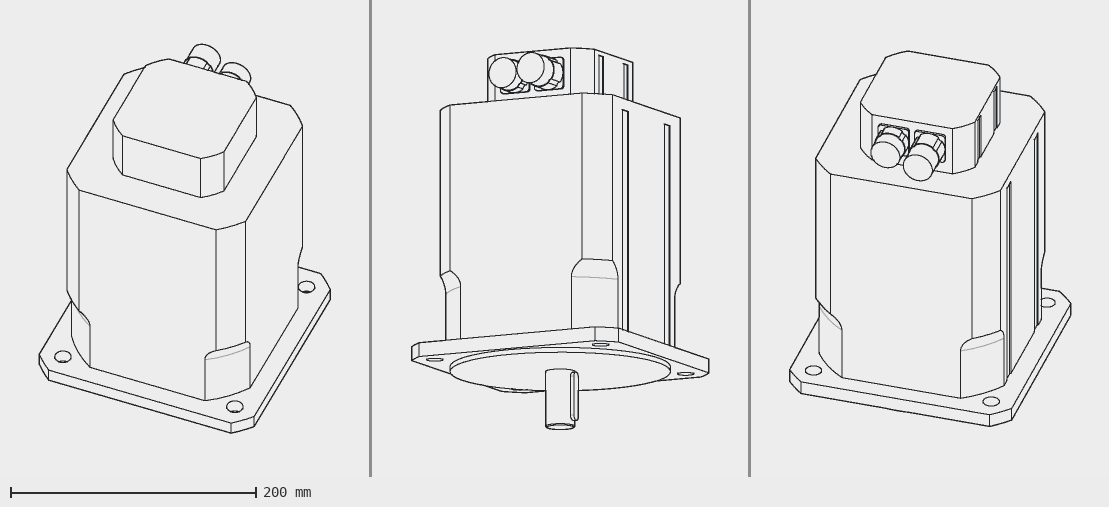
import cadquery as cq
import math


total_height = 304.0
shaft_length = 46.2
pilot_thickness = 4.0
flange_thickness = 11.5
cover_height = 44.5

flange_bottom = shaft_length + pilot_thickness
flange_top = flange_bottom + flange_thickness
housing_top = total_height - cover_height

flange_side = 190.0
flange_corner_diameter = 249.3
housing_side = 158.0
housing_corner_diameter = 199.0
cover_side = 98.0
cover_corner_diameter = 119.8

relief_diameter = 188.0
relief_straight_top = 108.2
relief_top = 122.2

pilot_diameter = 180.0
mounting_hole_diameter = 13.5
mounting_hole_spacing = 152.0

shaft_diameter = 24.0
shaft_chamfer = 1.0
key_width = 8.0
key_length = 40.0
key_bottom = 4.5
key_reach = 14.5

groove_depth = 1.0
housing_groove_width = 10.0
housing_groove_offset = 37.5
housing_groove_top_gap = 9.5
cover_groove_width = 8.0
cover_groove_offset = 22.2
cover_groove_top_gap = 3.5

connector_offset = 15.5
connector_height = 283.5
base_side = 26.0
base_thickness = 2.0
base_corner_radius = 2.7
collar_diameter = 26.0
plug_diameter = 25.0
power_collar_length = 15.5
power_plug_length = 16.7
signal_collar_length = 9.5
signal_plug_length = 12.5


def turned_square(side, corner_diameter, bottom, height):
    """Square bar on the Z axis whose corners are turned to a round."""
    square = cq.Workplane("XY").workplane(offset=bottom).rect(side, side).extrude(height)
    round_bar = cq.Workplane("XY").workplane(offset=bottom).circle(corner_diameter / 2).extrude(height)
    return square.intersect(round_bar)


def make_corner_relief():
    """Ring that cuts the lower housing corners and runs out upwards in an arc."""
    inner_radius = relief_diameter / 2
    runout_radius = housing_corner_diameter / 2
    outer_radius = flange_side
    rise = relief_top - relief_straight_top
    step = runout_radius - inner_radius
    arc_radius = (rise**2 + step**2) / (2 * step)
    half_angle = math.asin(rise / arc_radius) / 2
    arc_middle = (
        inner_radius + arc_radius * (1 - math.cos(half_angle)),
        relief_straight_top + arc_radius * math.sin(half_angle),
    )
    return (
        cq.Workplane("XZ")
        .moveTo(inner_radius, flange_top)
        .lineTo(inner_radius, relief_straight_top)
        .threePointArc(arc_middle, (runout_radius, relief_top))
        .lineTo(outer_radius, relief_top)
        .lineTo(outer_radius, flange_top)
        .close()
        .revolve(360, (0, 0, 0), (0, 1, 0))
    )


def make_grooves(side, width, offset, bottom, top):
    """Pair of shallow grooves in the -X face of a square section."""
    return (
        cq.Workplane("XY")
        .workplane(offset=bottom)
        .pushPoints([(-side / 2, -offset), (-side / 2, offset)])
        .rect(2 * groove_depth, width)
        .extrude(top - bottom)
    )


def make_flange():
    plate = turned_square(flange_side, flange_corner_diameter, flange_bottom, flange_thickness)
    holes = (
        cq.Workplane("XY")
        .workplane(offset=flange_bottom)
        .rect(mounting_hole_spacing, mounting_hole_spacing, forConstruction=True)
        .vertices()
        .circle(mounting_hole_diameter / 2)
        .extrude(flange_thickness)
    )
    pilot = (
        cq.Workplane("XY")
        .workplane(offset=shaft_length)
        .circle(pilot_diameter / 2)
        .extrude(pilot_thickness)
    )
    return plate.union(pilot).cut(holes)


def make_housing():
    housing = turned_square(
        housing_side, housing_corner_diameter, flange_top, housing_top - flange_top
    )
    grooves = make_grooves(
        housing_side,
        housing_groove_width,
        housing_groove_offset,
        flange_top,
        housing_top - housing_groove_top_gap,
    )
    return housing.cut(make_corner_relief()).cut(grooves)


def make_cover():
    cover = turned_square(cover_side, cover_corner_diameter, housing_top, cover_height)
    grooves = make_grooves(
        cover_side,
        cover_groove_width,
        cover_groove_offset,
        housing_top,
        total_height - cover_groove_top_gap,
    )
    return cover.cut(grooves)


def make_shaft():
    """Shaft with a round-ended key standing out on its -X side."""
    shaft = (
        cq.Workplane("XY")
        .circle(shaft_diameter / 2)
        .extrude(shaft_length)
        .faces("<Z")
        .chamfer(shaft_chamfer)
    )
    key = (
        cq.Workplane("YZ")
        .center(0, key_bottom + key_length / 2)
        .slot2D(key_length, key_width, 90)
        .extrude(-key_reach)
    )
    return shaft.union(key)


def make_motor():
    return make_flange().union(make_housing()).union(make_cover()).union(make_shaft())


def make_connector(x, collar_length, plug_length):
    """Connector along +Y: square base, collar notched for its screws, round plug."""
    seat = cq.Workplane("XZ", origin=(x, cover_side / 2, connector_height))
    collar_start = seat.workplane(offset=-base_thickness)
    plug_start = collar_start.workplane(offset=-collar_length)

    base = seat.rect(base_side, base_side).extrude(-base_thickness)
    base = base.edges("|Y").fillet(base_corner_radius)
    collar = collar_start.circle(collar_diameter / 2).extrude(-collar_length)
    plug = plug_start.circle(plug_diameter / 2).extrude(-plug_length)

    notch_spacing = base_side - 2 * base_corner_radius
    notches = (
        collar_start.rect(notch_spacing, notch_spacing, forConstruction=True)
        .vertices()
        .circle(base_corner_radius)
        .extrude(-collar_length)
    )
    return base.union(collar.cut(notches)).union(plug)


motor = make_motor()

connector_layout = [
    (-connector_offset, power_collar_length, power_plug_length),
    (connector_offset, signal_collar_length, signal_plug_length),
]
connectors = [
    make_connector(x, collar_length, plug_length)
    for x, collar_length, plug_length in connector_layout
]

result = cq.Compound.makeCompound([motor.val(), *[connector.val() for connector in connectors]])